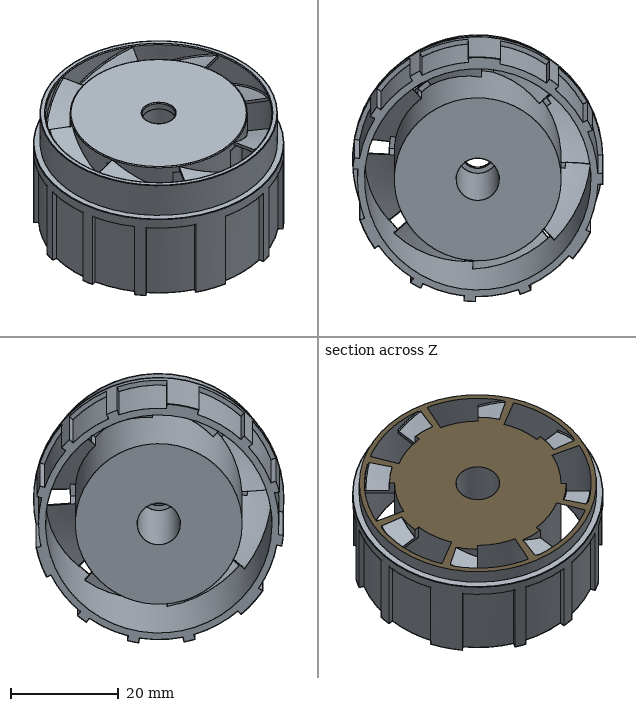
import cadquery as cq
import math

joint_overlap = 0.25

body_radius = 23.25
body_height = 25.0
collar_radius = 22.05
shoulder_z = 18.0
bore_radius = 21.0

edge_break = 0.1
rim_bevel = 0.2
tip_bevel = 0.25

cap_radius = 16.45
cap_thickness = 1.45
cap_bottom_z = body_height - cap_thickness
core_radius = 15.5
shaft_hole_radius = 3.05
core_bore_radius = 4.0

blade_count = 8
blade_span = 41.0
blade_fall = 6.1
blade_thickness = 0.65
blade_top_z = body_height - rim_bevel
blade_bottom_z = blade_top_z - blade_fall - blade_thickness
blade_pitch = 360 / blade_count
blade_start_angle = -blade_span / 2
blade_end_angle = blade_span / 2
degrees_per_unit = blade_span / blade_fall

rib_root_radius = 22.3
rib_top_z = 15.95
rib_group_count = 3
rib_group_pitch = 360 / rib_group_count
wide_rib_angle = -129.0
wide_rib_span = 15.0
narrow_rib_span = 5.3
narrow_rib_count = 3
narrow_rib_pitch = 26.1
first_narrow_rib_offset = 34.5


def disc(radius, bottom_z, top_z):
    return cq.Workplane("XY").workplane(offset=bottom_z).circle(radius).extrude(top_z - bottom_z)


def polar(radius, angle):
    turn = math.radians(angle)
    return (radius * math.cos(turn), radius * math.sin(turn))


def sector_outline(inner_radius, outer_radius, start_angle, span, bottom_z):
    """Closed outline of a ring segment that runs counterclockwise from start_angle."""
    middle_angle = start_angle + span / 2
    end_angle = start_angle + span
    return (
        cq.Workplane("XY")
        .workplane(offset=bottom_z)
        .moveTo(*polar(inner_radius, start_angle))
        .lineTo(*polar(outer_radius, start_angle))
        .threePointArc(polar(outer_radius, middle_angle), polar(outer_radius, end_angle))
        .lineTo(*polar(inner_radius, end_angle))
        .threePointArc(polar(inner_radius, middle_angle), polar(inner_radius, start_angle))
        .close()
    )


def sector(inner_radius, outer_radius, start_angle, span, bottom_z, top_z):
    outline = sector_outline(inner_radius, outer_radius, start_angle, span, bottom_z)
    return outline.extrude(top_z - bottom_z)


def helical_band(inner_radius, outer_radius, start_angle, span):
    """Ring segment that twists along the blade helix from the blade's lowest to its highest point."""
    height = blade_top_z - blade_bottom_z
    outline = sector_outline(inner_radius, outer_radius, start_angle, span, blade_bottom_z)
    return outline.twistExtrude(height, -height * degrees_per_unit)


def make_tip_bevel():
    """Helical strip with a sloping face that fills the corner between a blade's top and the bore."""
    inner_radius = bore_radius - tip_bevel - joint_overlap
    outer_radius = bore_radius + joint_overlap
    low_z = blade_top_z - blade_fall - joint_overlap
    high_z = blade_top_z - blade_fall + tip_bevel + joint_overlap
    helix_pitch = 360 / degrees_per_unit
    path = cq.Wire.makeHelix(helix_pitch, blade_fall, bore_radius, lefthand=True)
    profile = cq.Workplane("XZ").polyline(
        [(inner_radius, low_z), (outer_radius, low_z), (outer_radius, high_z)]
    )
    strip = profile.close().sweep(path, isFrenet=True)
    return strip.rotate((0, 0, 0), (0, 0, 1), blade_end_angle)


def make_blade():
    """Helical band of constant vertical thickness, trimmed by radial planes at both ends."""
    inner_radius = core_radius - joint_overlap
    outer_radius = bore_radius + joint_overlap
    band = helical_band(inner_radius, outer_radius, blade_end_angle, blade_thickness * degrees_per_unit)
    band = band.union(make_tip_bevel())
    trim = sector(
        shaft_hole_radius, body_radius, blade_start_angle, blade_span, blade_bottom_z, blade_top_z
    )
    return band.intersect(trim)


def make_hub_recess():
    """Space that sets the hub wall back to its core below one blade and the gap ahead of it.

    The upper limit runs inside the blade, so the blade's underside closes the recess.
    """
    inner_radius = core_radius - joint_overlap
    outer_radius = cap_radius + joint_overlap
    upper_angle = blade_end_angle + blade_thickness / 2 * degrees_per_unit
    band_span = blade_pitch + blade_span
    band = helical_band(inner_radius, outer_radius, upper_angle - band_span, band_span)
    trim_start = blade_end_angle - blade_pitch
    trim = sector(shaft_hole_radius, body_radius, trim_start, blade_pitch, blade_bottom_z, cap_bottom_z)
    return band.intersect(trim)


def around_axis(shape, count):
    return [shape.rotate((0, 0, 0), (0, 0, 1), index * 360 / count) for index in range(count)]


def make_grooves():
    """Grooves of one rib group, each from the end of one rib to the start of the next."""
    rib_edges = [wide_rib_angle + wide_rib_span / 2]
    for index in range(narrow_rib_count):
        center = wide_rib_angle + first_narrow_rib_offset + index * narrow_rib_pitch
        rib_edges += [center - narrow_rib_span / 2, center + narrow_rib_span / 2]
    rib_edges.append(wide_rib_angle + rib_group_pitch - wide_rib_span / 2)
    return [
        sector(rib_root_radius, body_radius + joint_overlap, start, end - start, 0, rib_top_z)
        for start, end in zip(rib_edges[::2], rib_edges[1::2])
    ]


def is_wide_rib_edge(edge):
    """True for rim arcs longer than a narrow rib, which leaves only the wide ribs."""
    if edge.geomType() != "CIRCLE":
        return False
    mean_span = (wide_rib_span + narrow_rib_span) / 2
    on_rim = edge.radius() > (rib_root_radius + body_radius) / 2
    return on_rim and edge.Length() > math.radians(mean_span) * body_radius


def make_ring():
    """Grooved grip and collar around the bore."""
    ring = disc(body_radius, 0, shoulder_z).faces(">Z").chamfer(edge_break)
    for groove in make_grooves():
        for copy in around_axis(groove, rib_group_count):
            ring = ring.cut(copy)
    ring = ring.faces("<Z").edges().filter(is_wide_rib_edge).chamfer(edge_break)
    ring = ring.union(disc(collar_radius, 0, body_height).faces(">Z").chamfer(edge_break))
    ring = ring.cut(disc(bore_radius, 0, body_height))
    return ring.edges(">Z").edges(cq.selectors.RadiusNthSelector(0)).chamfer(rim_bevel)


def make_hub():
    """Cap, core and blades, with the shaft hole through the middle."""
    hub = disc(cap_radius, blade_bottom_z, body_height)
    hub = hub.cut(disc(shaft_hole_radius, cap_bottom_z, body_height))
    hub = hub.faces(">Z").chamfer(rim_bevel)
    for recess in around_axis(make_hub_recess(), blade_count):
        hub = hub.cut(recess)
    hub = hub.union(disc(core_radius, 0, cap_bottom_z))
    for blade in around_axis(make_blade(), blade_count):
        hub = hub.union(blade)
    return hub.cut(disc(core_bore_radius, 0, cap_bottom_z))


result = make_ring().union(make_hub())